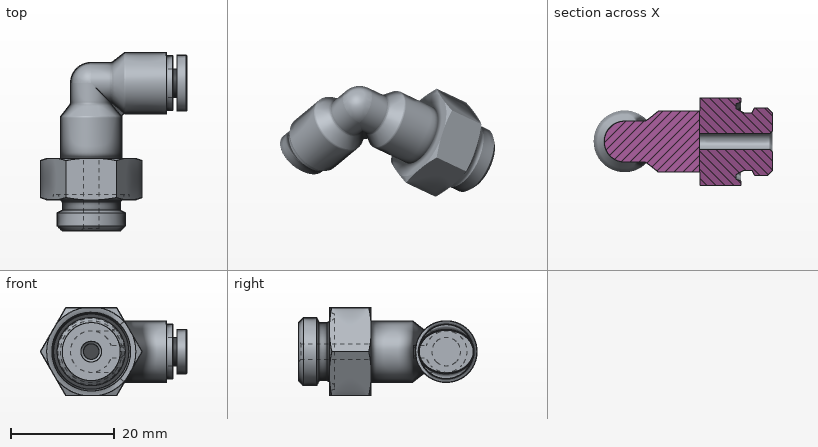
import cadquery as cq
import math


BEND_RADIUS = 4.0
ARM_RADIUS = 11.9 / 2
ARM_END = 14.5
CONE_START = 4.0
CONE_END = 6.5
CONE_BLEND_RADIUS = 0.5
WEB_THICKNESS = 2.4
WEB_INSET = 0.15
SELECTION_MARGIN = 0.1

HEX_ACROSS_FLATS = 17.0
HEX_LENGTH = 8.0
HEX_CHAMFER_ANGLE = 20.0
HEX_FACE_RADIUS = 8.6
STUD_END = 28.5
RIM_START = 25.0
RIM_RADIUS = 13.16 / 2
NECK_RADIUS = 11.2 / 2
NECK_CONE_LENGTH = 0.5
FLARE_START = 22.95
FLARE_RADIUS = 6.4
RECESS_MOUTH_RADIUS = 15.2 / 2
RECESS_FLOOR_RADIUS = 14.5 / 2
RECESS_DEPTH = 1.0
PORT_RADIUS = 3.0 / 2
PORT_MOUTH_RADIUS = 4.0 / 2
PORT_CONE_DEPTH = PORT_MOUTH_RADIUS - PORT_RADIUS

RING_RADIUS = 10.6 / 2
RING_END = 15.75
RING_CHAMFER = 0.1
BUTTON_NECK_RADIUS = 5.5 / 2
FLANGE_START = 16.5
FLANGE_END = 18.5
FLANGE_LENGTH = 10.8
FLANGE_WIDTH = 8.6
FLANGE_CHAMFER = 0.2

HEX_START = ARM_END
HEX_END = HEX_START + HEX_LENGTH
HEX_CORNER_RADIUS = HEX_ACROSS_FLATS / 2 / math.cos(math.radians(30))


def revolve_about_inlet(profile):
    """Revolve a profile of (radius, distance) points about the inlet axis, -Y."""
    points = [(radius, -distance) for radius, distance in profile]
    return cq.Workplane("XY").polyline(points).close().revolve(360, (0, 0, 0), (0, 1, 0))


def make_inlet_arm():
    """Stepped round arm along -Y, with the edges of its cone rounded."""
    arm = revolve_about_inlet([
        (0, 0),
        (BEND_RADIUS, 0),
        (BEND_RADIUS, CONE_START),
        (ARM_RADIUS, CONE_END),
        (ARM_RADIUS, ARM_END),
        (0, ARM_END),
    ])
    around_cone = cq.selectors.BoxSelector(
        (-ARM_RADIUS, -CONE_END - SELECTION_MARGIN, -ARM_RADIUS),
        (ARM_RADIUS, -CONE_START + SELECTION_MARGIN, ARM_RADIUS),
    )
    return arm.edges(around_cone).edges("%CIRCLE").fillet(CONE_BLEND_RADIUS)


def make_web():
    """Web in the bend that fills the wedge between the two cones."""
    near = ARM_RADIUS - WEB_INSET
    far = CONE_END - WEB_INSET
    return (
        cq.Workplane("XY")
        .polyline([(0, 0), (far, -near), (near, -far)])
        .close()
        .extrude(WEB_THICKNESS / 2, both=True)
    )


def make_elbow():
    """Two equal arms joined by a ball at the bend."""
    inlet_arm = make_inlet_arm()
    outlet_arm = inlet_arm.rotate((0, 0, 0), (0, 0, 1), 90)
    ball = cq.Workplane("XY").sphere(BEND_RADIUS)
    return ball.union(inlet_arm).union(outlet_arm).union(make_web())


def make_hexagon():
    """Hexagon with flats facing +Z and -Z and both ends chamfered."""
    blank = (
        cq.Workplane("XZ")
        .workplane(offset=HEX_START)
        .polygon(6, 2 * HEX_CORNER_RADIUS)
        .extrude(HEX_LENGTH)
    )
    corner_drop = (HEX_CORNER_RADIUS - HEX_FACE_RADIUS) * math.tan(math.radians(HEX_CHAMFER_ANGLE))
    envelope = revolve_about_inlet([
        (0, HEX_START),
        (HEX_FACE_RADIUS, HEX_START),
        (HEX_CORNER_RADIUS, HEX_START + corner_drop),
        (HEX_CORNER_RADIUS, HEX_END - corner_drop),
        (HEX_FACE_RADIUS, HEX_END),
        (0, HEX_END),
    ])
    return blank.intersect(envelope)


def make_stud():
    """Hexagon with a recessed end face, the neck, the rim and the port."""
    recess_floor = HEX_END - RECESS_DEPTH
    recess = revolve_about_inlet([
        (0, recess_floor),
        (RECESS_FLOOR_RADIUS, recess_floor),
        (RECESS_MOUTH_RADIUS, HEX_END),
        (0, HEX_END),
    ])
    rim_chamfer = RIM_RADIUS - NECK_RADIUS
    shank = revolve_about_inlet([
        (0, recess_floor),
        (FLARE_RADIUS, recess_floor),
        (NECK_RADIUS, FLARE_START),
        (NECK_RADIUS, RIM_START - NECK_CONE_LENGTH),
        (RIM_RADIUS, RIM_START),
        (RIM_RADIUS, STUD_END - rim_chamfer),
        (NECK_RADIUS, STUD_END),
        (0, STUD_END),
    ])
    port = revolve_about_inlet([
        (0, HEX_START),
        (PORT_RADIUS, HEX_START),
        (PORT_RADIUS, STUD_END - PORT_CONE_DEPTH),
        (PORT_MOUTH_RADIUS, STUD_END),
        (0, STUD_END),
    ])
    return make_hexagon().cut(recess).union(shank).cut(port)


def make_button_neck():
    """Round neck from the arm's end face to the flange."""
    return (
        cq.Workplane("YZ")
        .workplane(offset=ARM_END)
        .circle(BUTTON_NECK_RADIUS)
        .extrude(FLANGE_START - ARM_END)
    )


def make_ring():
    """Ring on the end face of the outlet arm, open for the button's neck."""
    return (
        cq.Workplane("YZ")
        .workplane(offset=ARM_END)
        .circle(RING_RADIUS)
        .extrude(RING_END - ARM_END)
        .faces(">X")
        .chamfer(RING_CHAMFER)
        .cut(make_button_neck())
    )


def make_button():
    """Release button: round neck with an elliptical flange, long along Y."""
    flange = (
        cq.Workplane("YZ")
        .workplane(offset=FLANGE_START)
        .ellipse(FLANGE_LENGTH / 2, FLANGE_WIDTH / 2)
        .extrude(FLANGE_END - FLANGE_START)
        .faces(">X")
        .chamfer(FLANGE_CHAMFER)
    )
    return make_button_neck().union(flange)


elbow = make_elbow()
stud = make_stud()
ring = make_ring()
button = make_button()

result = cq.Compound.makeCompound([elbow.val(), stud.val(), ring.val(), button.val()])